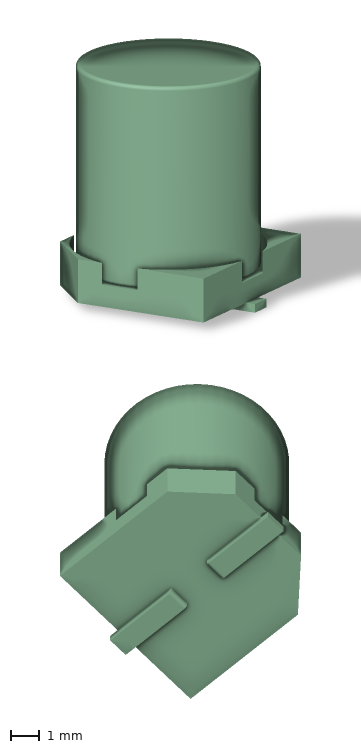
import cadquery as cq

total_height = 8.5
terminal_span = 7.5

base_width = 6.8
base_height = 1.6
corner_chamfer = 1.7
recess_diameter = 6.95
recess_depth = 0.8

can_diameter = 6.49
can_edge_radius = 0.14

terminal_length = 2.91
terminal_width = 0.81
terminal_thickness = 0.315
terminal_edge_radius = 0.13

base_bottom = terminal_thickness
base_top = base_bottom + base_height
recess_floor = base_top - recess_depth


def make_base():
    """Square plate with two chamfered -X corners and a round recess for the can."""
    plate = (
        cq.Workplane("XY", origin=(0, 0, base_bottom))
        .rect(base_width, base_width)
        .extrude(base_height)
        .edges("|Z and <X")
        .chamfer(corner_chamfer)
    )
    recess = (
        cq.Workplane("XY", origin=(0, 0, recess_floor))
        .circle(recess_diameter / 2)
        .extrude(recess_depth)
    )
    return plate.cut(recess)


def make_can():
    """Cylinder standing on the recess floor, rounded at both ends."""
    return (
        cq.Workplane("XY", origin=(0, 0, recess_floor))
        .circle(can_diameter / 2)
        .extrude(total_height - recess_floor)
        .edges()
        .fillet(can_edge_radius)
    )


def make_terminal(side):
    """Flat strip under the base; side is -1 for the -X end and +1 for the +X end."""
    center_x = side * (terminal_span - terminal_length) / 2
    inner_bottom_edge = "<Z and >X" if side < 0 else "<Z and <X"
    return (
        cq.Workplane("XY", origin=(center_x, 0, 0))
        .rect(terminal_length, terminal_width)
        .extrude(terminal_thickness)
        .edges("|Y")
        .edges(inner_bottom_edge)
        .fillet(terminal_edge_radius)
    )


base = make_base()
can = make_can()
terminals = [make_terminal(side) for side in (-1, 1)]

result = cq.Compound.makeCompound(
    [base.val(), can.val(), *[terminal.val() for terminal in terminals]]
)